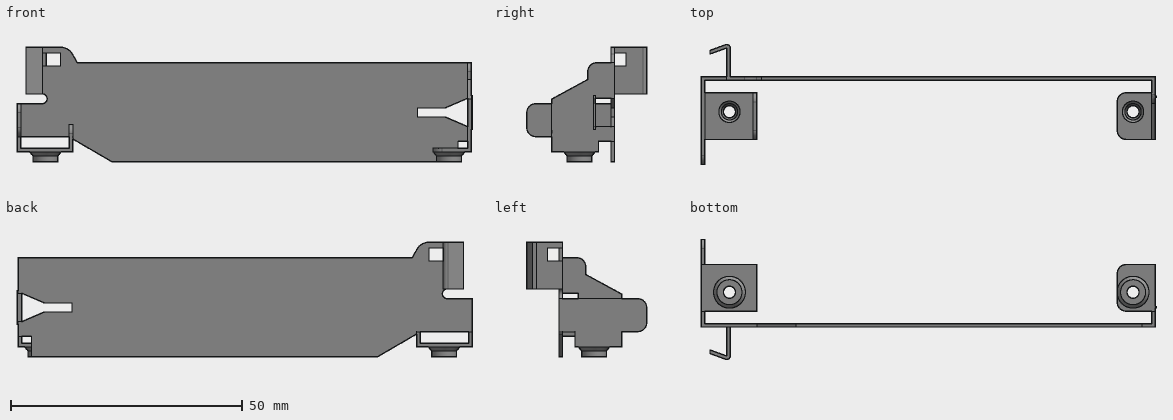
import cadquery as cq
import math

SHEET = 0.8
RIDGE = 0.2
RIGHT_X = 98.4 - RIDGE
TOP_Z = 24.8
PLATE_TOP_Z = 21.5
CORNER_R = 2.0

LEFT_WALL_TOP = 12.6
LEFT_WALL_BOTTOM = 5.4
LEFT_WALL_FRONT = -18.2
LEFT_FLOOR_END = 12.0
UPSTAND_TOP = 8.1

FLOOR_Z = 2.2
FLOOR_BACK = -2.7
FLOOR_FRONT = -12.8
FLOOR_DEPTH = FLOOR_BACK - FLOOR_FRONT
BOSS_Y = -6.8
LEFT_BOSS_X = 6.1
RIGHT_BOSS_X = 93.4
BOSS_D = 5.4
FLARE_D = 6.9
FLARE_HEIGHT = 0.9
HOLE_D = 2.6
MOUTH_D = 4.6
THROAT_D = 3.5

EAR_X = 5.5
RELIEF_X = 5.4
EAR_BOTTOM = 14.7
EAR_BACK = 7.8
LIP_TIP_X = 1.9
LIP_ANGLE = 20
EAR_TOP_END = 11.1
EAR_FOOT_X = 13.0
EAR_CORNER_R = 3.0
WINDOW_END_X = 9.3
WINDOW_BACK_Y = 3.2
WINDOW_BOTTOM = 20.8
WINDOW_HEIGHT = 2.8

SLOPE_TOP_Z = 4.9
SLOPE_END_X = 20.5
RELIEF_WIDTH = 2.9
RELIEF_TOP = 4.4

SLOT_START_X = 86.6
TAPER_START_X = 92.5
SLOT_Z = 10.68
SLOT_HALF = 0.93
OPENING_HALF = 3.05
OPENING_FRONT = -3.3
RIDGE_OVERHANG = 0.6
RIDGE_WIDTH = 0.4

RIGHT_WALL_INSIDE = RIGHT_X - SHEET
RIGHT_FLOOR_START = 89.9
SHOULDER_Y = -5.0
SHOULDER_Z = 17.8
SLANT_END_Z = 13.6


def box(x, y, z, dx, dy, dz):
    """Box with its lowest corner at x, y, z."""
    return cq.Workplane("XY").box(dx, dy, dz, centered=False).translate((x, y, z))


def wall(points, x):
    """Sheet with a Y-Z outline, its left face at x."""
    return cq.Workplane("YZ", origin=(x, 0, 0)).polyline(points).close().extrude(SHEET)


def plate_sheet(points):
    """Sheet with an X-Z outline, filling the thickness of the plate."""
    return cq.Workplane("XZ").polyline(points).close().extrude(-SHEET)


def make_plate():
    plate = plate_sheet([
        (0, LEFT_WALL_BOTTOM), (LEFT_FLOOR_END, LEFT_WALL_BOTTOM),
        (LEFT_FLOOR_END, SLOPE_TOP_Z), (SLOPE_END_X, 0),
        (RIGHT_X - RELIEF_WIDTH, 0), (RIGHT_X - RELIEF_WIDTH, RELIEF_TOP),
        (RIGHT_X, RELIEF_TOP), (RIGHT_X, PLATE_TOP_Z), (EAR_FOOT_X, PLATE_TOP_Z),
        (EAR_TOP_END, TOP_Z), (EAR_X, TOP_Z), (EAR_X, LEFT_WALL_TOP),
        (0, LEFT_WALL_TOP),
    ])
    ear_corner = cq.selectors.NearestToPointSelector((EAR_TOP_END, SHEET / 2, TOP_Z))
    plate = plate.edges("|Y").edges(ear_corner).fillet(EAR_CORNER_R)

    relief_r = (EAR_BOTTOM - LEFT_WALL_TOP) / 2
    relief_z = LEFT_WALL_TOP + relief_r
    plate = plate.cut(
        cq.Workplane("XZ", origin=(RELIEF_X, 0, relief_z)).circle(relief_r).extrude(-SHEET)
    )

    slot = plate_sheet([
        (SLOT_START_X, SLOT_Z - SLOT_HALF), (TAPER_START_X, SLOT_Z - SLOT_HALF),
        (RIGHT_WALL_INSIDE, SLOT_Z - OPENING_HALF), (RIGHT_X, SLOT_Z - OPENING_HALF),
        (RIGHT_X, SLOT_Z + OPENING_HALF), (RIGHT_WALL_INSIDE, SLOT_Z + OPENING_HALF),
        (TAPER_START_X, SLOT_Z + SLOT_HALF), (SLOT_START_X, SLOT_Z + SLOT_HALF),
    ])
    return plate.cut(slot)


def make_ear():
    """Rearward ear with a lip folded back toward the left wall."""
    ear_outer_x = EAR_X + SHEET
    angle = math.radians(LIP_ANGLE)
    tip_drop = (ear_outer_x - LIP_TIP_X) * math.tan(angle)
    lip_drop = SHEET / math.cos(angle)
    inner_drop = SHEET * math.tan(angle) + lip_drop
    corner_y = EAR_BACK + SHEET * (1 / math.cos(angle) + math.tan(angle) - 1)
    ear = (
        cq.Workplane("XY", origin=(0, 0, EAR_BOTTOM))
        .polyline([
            (EAR_X, 0), (ear_outer_x, 0), (ear_outer_x, corner_y),
            (LIP_TIP_X, corner_y - tip_drop),
            (LIP_TIP_X, corner_y - tip_drop - lip_drop),
            (EAR_X, corner_y - inner_drop),
        ]).close().extrude(TOP_Z - EAR_BOTTOM)
    )
    bend = cq.selectors.NearestToPointSelector((ear_outer_x, corner_y, (TOP_Z + EAR_BOTTOM) / 2))
    return ear.edges("|Z").edges(bend).fillet(SHEET)


def make_left_bracket():
    side = wall([
        (SHEET, LEFT_WALL_TOP), (LEFT_WALL_FRONT, LEFT_WALL_TOP),
        (LEFT_WALL_FRONT, LEFT_WALL_BOTTOM), (FLOOR_FRONT, LEFT_WALL_BOTTOM),
        (FLOOR_FRONT, FLOOR_Z), (FLOOR_BACK, FLOOR_Z),
        (FLOOR_BACK, LEFT_WALL_BOTTOM), (SHEET, LEFT_WALL_BOTTOM),
    ], 0)
    side = side.faces("<Y").edges("|X").fillet(CORNER_R)
    floor = box(0, FLOOR_FRONT, FLOOR_Z, LEFT_FLOOR_END, FLOOR_DEPTH, SHEET)
    upstand = box(
        LEFT_FLOOR_END - SHEET, FLOOR_FRONT, FLOOR_Z, SHEET, FLOOR_DEPTH, UPSTAND_TOP - FLOOR_Z
    )
    upstand = upstand.faces(">Z").edges("|X").fillet(CORNER_R)
    return side.union(floor).union(upstand)


def make_right_bracket():
    side = wall([
        (SHEET, PLATE_TOP_Z), (SHOULDER_Y, PLATE_TOP_Z), (SHOULDER_Y, SHOULDER_Z),
        (FLOOR_FRONT, SLANT_END_Z), (FLOOR_FRONT, FLOOR_Z), (FLOOR_BACK, FLOOR_Z),
        (FLOOR_BACK, RELIEF_TOP), (SHEET, RELIEF_TOP),
    ], RIGHT_WALL_INSIDE)
    shoulder = cq.selectors.NearestToPointSelector((RIGHT_X, SHOULDER_Y, PLATE_TOP_Z))
    side = side.edges("|X").edges(shoulder).fillet(CORNER_R)

    opening = box(
        RIGHT_WALL_INSIDE, OPENING_FRONT, SLOT_Z - OPENING_HALF,
        SHEET, SHEET - OPENING_FRONT, 2 * OPENING_HALF,
    )
    ridge_half = OPENING_HALF + RIDGE_OVERHANG
    ridge = box(
        RIGHT_X, OPENING_FRONT - RIDGE_WIDTH, SLOT_Z - ridge_half,
        RIDGE, RIDGE_WIDTH, 2 * ridge_half,
    )
    floor = box(
        RIGHT_FLOOR_START, FLOOR_FRONT, FLOOR_Z, RIGHT_X - RIGHT_FLOOR_START, FLOOR_DEPTH, SHEET
    )
    floor = floor.faces("<X").edges("|Z").fillet(CORNER_R)
    return side.cut(opening).union(ridge).union(floor)


def revolved(points, x):
    """Solid turned about the vertical boss axis at x from a radius-Z outline."""
    axis = cq.Workplane("XZ", origin=(x, BOSS_Y, 0))
    return axis.polyline(points).close().revolve(360, (0, 0), (0, 1))


def add_boss(body, x):
    """Collar with a flared root under a floor, and a hole narrowing in two tapers."""
    floor_top = FLOOR_Z + SHEET
    collar = revolved([
        (0, 0), (BOSS_D / 2, 0), (BOSS_D / 2, FLOOR_Z - FLARE_HEIGHT),
        (FLARE_D / 2, FLOOR_Z), (0, FLOOR_Z),
    ], x)
    hole = revolved([
        (0, 0), (HOLE_D / 2, 0), (THROAT_D / 2, FLOOR_Z),
        (MOUTH_D / 2, floor_top), (0, floor_top),
    ], x)
    return body.union(collar).cut(hole)


ear_window = box(
    EAR_X, 0, WINDOW_BOTTOM, WINDOW_END_X - EAR_X, WINDOW_BACK_Y, WINDOW_HEIGHT
)

result = make_plate().union(make_ear()).cut(ear_window)
result = result.union(make_left_bracket()).union(make_right_bracket())
for boss_x in (LEFT_BOSS_X, RIGHT_BOSS_X):
    result = add_boss(result, boss_x)